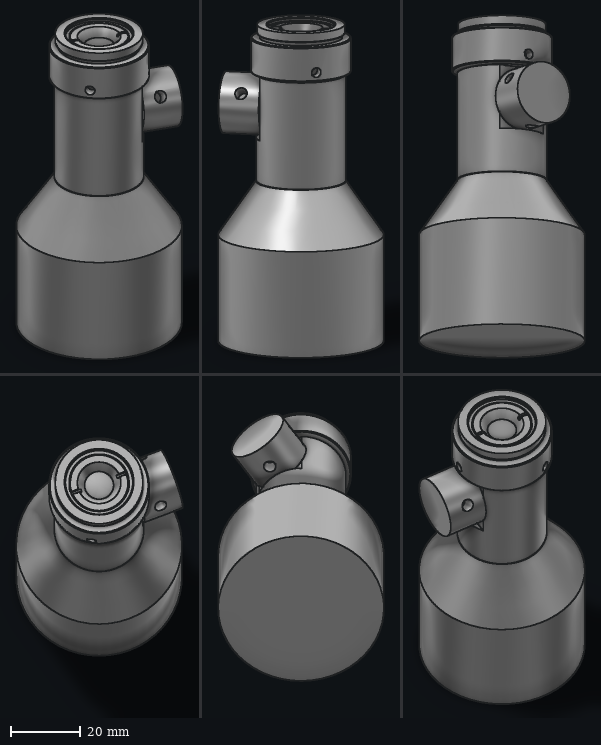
import cadquery as cq
import math

total_height = 93.62
wide_height = 31.4
cone_top = 47.3
hood_top = 47.5
tube_top = 79.0
ring_bottom = 79.6
ring_top = 89.8
flange_bottom = 90.85
lip_depth = 1.0
neck_top = total_height - lip_depth

wide_diameter = 48.0
tube_diameter = 26.0
neck_diameter = 22.2
cell_diameter = 17.4

ring_diameter = 29.0
ring_chamfer = 0.3
flange_diameter = 25.4
flange_chamfer = 0.25
groove_diameter = 24.0
lip_bore_diameter = 19.5
lip_bore_chamfer = 0.3
ring_screw_diameter = 2.8
ring_screw_height = ring_bottom + 2.65

retainer_diameter = 16.8
retainer_thickness = 2.5
retainer_mouth_diameter = 12.6
retainer_aperture_diameter = 8.4
spanner_slot_width = 0.9
spanner_slot_depth = 0.9
lens_thickness = 3.0
lens_sphere_radius = 60.0

port_diameter = 18.0
port_end = 22.5
port_seat = 10.65
port_height = 69.55
seat_clearance = 0.35
port_screw_diameter = 3.5
port_screw_depth = 5.5
port_screw_y = 16.1

screw_count = 3
screw_spacing = 360 / screw_count

retainer_bottom = neck_top - retainer_thickness
aperture_radius = retainer_aperture_diameter / 2
dome_centre = retainer_bottom - math.sqrt(lens_sphere_radius**2 - aperture_radius**2)
dome_top = dome_centre + lens_sphere_radius
lens_bottom = dome_top - lens_thickness


def cylinder(diameter, bottom, top):
    return cq.Workplane("XY").workplane(offset=bottom).circle(diameter / 2).extrude(top - bottom)


def cylinder_along_y(diameter, start, end):
    """Cylinder on the port axis, running in +Y from start to end."""
    plane = cq.Plane(origin=(0, start, port_height), xDir=(1, 0, 0), normal=(0, 1, 0))
    return cq.Workplane(plane).circle(diameter / 2).extrude(end - start)


def radial_hole(axis_point, outward, diameter, inner_radius, outer_radius):
    """Cutter running outward from inner_radius to outer_radius around axis_point."""
    start = axis_point + outward * inner_radius
    length = outer_radius - inner_radius
    return cq.Workplane(cq.Solid.makeCylinder(diameter / 2, length, start, outward))


def make_hood():
    """Wide front section with its cone and a short rim that carries the tube."""
    profile = [
        (0, 0),
        (wide_diameter / 2, 0),
        (wide_diameter / 2, wide_height),
        (tube_diameter / 2, cone_top),
        (tube_diameter / 2, hood_top),
        (0, hood_top),
    ]
    return cq.Workplane("XZ").polyline(profile).close().revolve(360, (0, 0, 0), (0, 1, 0))


def make_tube():
    tube = cylinder(tube_diameter, hood_top, tube_top)
    tube = tube.union(cylinder(neck_diameter, tube_top, neck_top))
    lens_cell = cylinder(cell_diameter, lens_bottom, neck_top)
    flat_bottom = port_height - port_diameter / 2 - seat_clearance
    port_flat = (
        cq.Workplane("XY")
        .workplane(offset=flat_bottom)
        .center(0, port_seat + tube_diameter / 2)
        .rect(tube_diameter, tube_diameter)
        .extrude(tube_top - flat_bottom)
    )
    return tube.cut(lens_cell).cut(port_flat)


def make_mount():
    ring = cylinder(ring_diameter, ring_bottom, ring_top).edges().chamfer(ring_chamfer)
    groove = cylinder(groove_diameter, ring_top, flange_bottom)
    flange = cylinder(flange_diameter, flange_bottom, total_height)
    flange = flange.faces("<Z").edges().chamfer(flange_chamfer)
    mount = ring.union(groove).union(flange)
    mount = mount.cut(cylinder(neck_diameter, ring_bottom, neck_top))
    mount = mount.cut(cylinder(lip_bore_diameter, neck_top, total_height))
    lip_rim = cq.selectors.RadiusNthSelector(0)
    mount = mount.faces(">Z").edges(lip_rim).chamfer(lip_bore_chamfer)
    for i in range(screw_count):
        angle = math.radians(90 + i * screw_spacing)
        outward = cq.Vector(math.cos(angle), math.sin(angle), 0)
        axis_point = cq.Vector(0, 0, ring_screw_height)
        mount = mount.cut(radial_hole(axis_point, outward, ring_screw_diameter, 0, ring_diameter / 2))
    return mount


def make_retainer():
    retainer = cylinder(retainer_diameter, retainer_bottom, neck_top)
    opening = cq.Workplane(cq.Solid.makeCone(
        aperture_radius, retainer_mouth_diameter / 2, retainer_thickness,
        cq.Vector(0, 0, retainer_bottom)))
    slot = cq.Workplane("XY").workplane(offset=neck_top).rect(
        spanner_slot_width, cell_diameter).extrude(-spanner_slot_depth)
    return retainer.cut(opening).cut(slot)


def make_lens():
    """Plano-convex lens, its dome facing up."""
    dome = cq.Workplane("XY", origin=(0, 0, dome_centre)).sphere(lens_sphere_radius)
    return cylinder(cell_diameter, lens_bottom, neck_top).intersect(dome)


def make_port():
    port = cylinder_along_y(port_diameter, port_seat, port_end)
    hole_bottom = port_diameter / 2 - port_screw_depth
    for i in range(screw_count):
        angle = math.radians(-90 + i * screw_spacing)
        outward = cq.Vector(math.cos(angle), 0, math.sin(angle))
        axis_point = cq.Vector(0, port_screw_y, port_height)
        port = port.cut(
            radial_hole(axis_point, outward, port_screw_diameter, hole_bottom, port_diameter / 2)
        )
    return port


hood = make_hood()
tube = make_tube()
mount = make_mount()
retainer = make_retainer()
lens = make_lens()
port = make_port()

result = cq.Compound.makeCompound(
    [hood.val(), tube.val(), mount.val(), retainer.val(), lens.val(), port.val()]
)